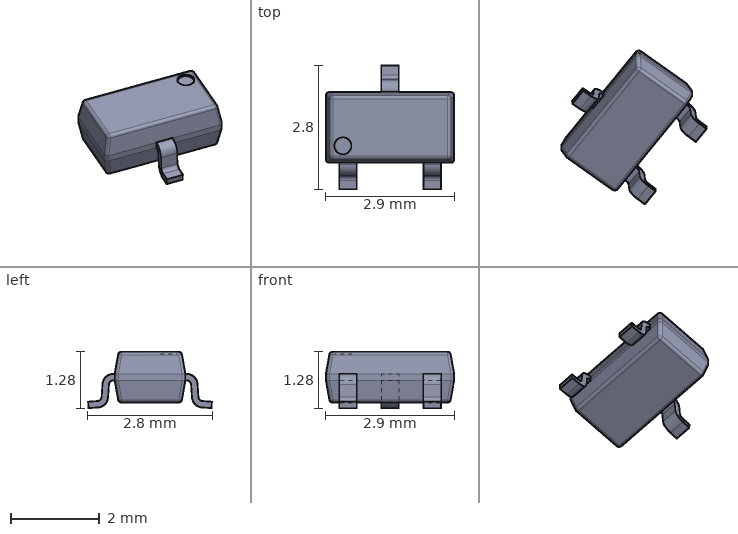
import cadquery as cq
import math

body_length = 2.9
body_width = 1.6
body_height = 1.15
standoff = 0.128
draft_angle = 10.0
edge_radius = 0.08

mark_diameter = 0.383
mark_depth = 0.05
mark_inset = 0.385

lead_thickness = 0.15
lead_width = 0.4
lead_offset = 0.95
lead_span = 2.8
lead_tilt = 4.0
bend_inner_radius = 0.1
stub_length = 0.025
lead_embed = 0.145

body_middle_z = standoff + body_height / 2
band_height = lead_thickness
half_thickness = lead_thickness / 2
bend_outer_radius = bend_inner_radius + lead_thickness
bend_radius = bend_inner_radius + half_thickness

tilt_sin = math.sin(math.radians(lead_tilt))
tilt_cos = math.cos(math.radians(lead_tilt))


def make_body():
    taper_height = (body_height - band_height) / 2
    band = cq.Workplane("XY").box(body_length, body_width, band_height)
    upper = band.faces(">Z").workplane().rect(body_length, body_width)
    body = upper.extrude(taper_height, taper=draft_angle)
    lower = body.faces("<Z").workplane().rect(body_length, body_width)
    body = lower.extrude(taper_height, taper=draft_angle)
    body = body.edges("not(#Z)").fillet(edge_radius)
    body = body.faces(">Z or <Z").edges().fillet(edge_radius)
    return body.translate((0, 0, body_middle_z))


def make_mark():
    return (
        cq.Workplane("XY", origin=(0, 0, standoff + body_height - mark_depth))
        .center(mark_inset - body_length / 2, mark_inset - body_width / 2)
        .circle(mark_diameter / 2)
        .extrude(mark_depth)
    )


def polar(center, radius, degrees):
    angle = math.radians(degrees)
    return (center[0] + radius * math.cos(angle), center[1] + radius * math.sin(angle))


def shifted(point, step):
    return (point[0] + step[0], point[1] + step[1])


def make_lead(x_center):
    """Lead leaving the +Y side of the body; the outline is drawn in (Y, Z)."""
    body_side = body_width / 2
    top_z = body_middle_z + half_thickness
    bottom_z = body_middle_z - half_thickness

    upper_center = (body_side + stub_length, body_middle_z - bend_radius)
    tip_bottom_y = lead_span / 2 - lead_thickness * tilt_sin
    leg_direction = (tilt_sin, -tilt_cos)
    foot_direction = (tilt_cos, -tilt_sin)

    bend_gap = (2 * bend_radius * tilt_cos, 2 * bend_radius * tilt_sin)
    reach = tip_bottom_y - upper_center[0] - bend_gap[0] + bend_outer_radius * tilt_sin
    drop = upper_center[1] + bend_gap[1] - bend_outer_radius * tilt_cos
    solve_scale = tilt_cos**2 - tilt_sin**2
    leg_length = (drop * tilt_cos - reach * tilt_sin) / solve_scale
    foot_length = (reach * tilt_cos - drop * tilt_sin) / solve_scale

    lower_center = (
        upper_center[0] + bend_gap[0] + leg_length * leg_direction[0],
        upper_center[1] + bend_gap[1] + leg_length * leg_direction[1],
    )
    foot_step = (foot_length * foot_direction[0], foot_length * foot_direction[1])

    leg_angle = lead_tilt
    upper_middle = (90 + leg_angle) / 2
    lower_leg_angle = 180 + leg_angle
    foot_angle = 270 - lead_tilt
    lower_middle = (lower_leg_angle + foot_angle) / 2

    def bend_points(center, radius, angles):
        return [polar(center, radius, angle) for angle in angles]

    upper_angles = (90, upper_middle, leg_angle)
    lower_angles = (lower_leg_angle, lower_middle, foot_angle)
    outer_top = bend_points(upper_center, bend_outer_radius, upper_angles)
    inner_top = bend_points(upper_center, bend_inner_radius, upper_angles)
    inner_low = bend_points(lower_center, bend_inner_radius, lower_angles)
    outer_low = bend_points(lower_center, bend_outer_radius, lower_angles)

    root_y = body_side - lead_embed
    outline = (
        cq.Workplane("YZ", origin=(x_center - lead_width / 2, 0, 0))
        .moveTo(root_y, top_z)
        .lineTo(*outer_top[0])
        .threePointArc(outer_top[1], outer_top[2])
        .lineTo(*inner_low[0])
        .threePointArc(inner_low[1], inner_low[2])
        .lineTo(*shifted(inner_low[2], foot_step))
        .lineTo(*shifted(outer_low[2], foot_step))
        .lineTo(*outer_low[2])
        .threePointArc(outer_low[1], outer_low[0])
        .lineTo(*inner_top[2])
        .threePointArc(inner_top[1], inner_top[0])
        .lineTo(root_y, bottom_z)
        .close()
    )
    return outline.extrude(lead_width)


result = make_body().cut(make_mark()).union(make_lead(0))
for x_center in (-lead_offset, lead_offset):
    result = result.union(make_lead(x_center).mirror("XZ"))